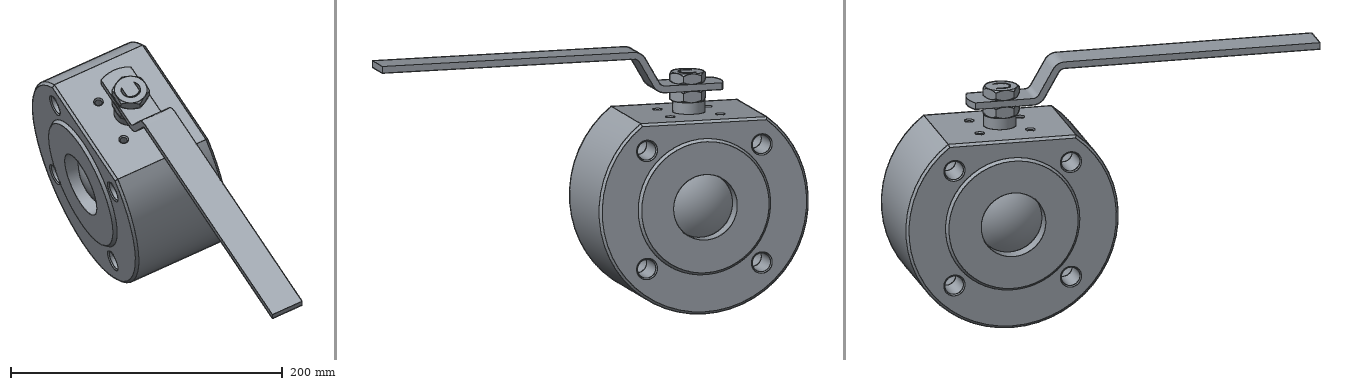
import cadquery as cq
import math


overall_length = 320.3
overall_height = 193.8

body_dia = 161.0
body_width = 77.8
body_chamfer = 2.0
flat_height = 64.5
raised_face_base_dia = 102.0
raised_face_rim_dia = 98.0
raised_face_height = 2.5
total_width = body_width + 2 * raised_face_height

bore_dia = 49.0
ball_dia = 77.0

drill_point_angle = 118
bolt_circle_dia = 125.0
bolt_core_dia = 14.0
bolt_mouth_dia = 16.0
bolt_hole_depth = 24.0
pad_hole_core_dia = 5.0
pad_hole_mouth_dia = 7.0
pad_hole_depth = 9.5
pad_hole_pitch_x = 38.5
pad_hole_pitch_y = 32.0

lever_width = 25.0
lever_thickness = 5.0
lever_end_x = overall_length - body_dia / 2
lever_top = overall_height - body_dia / 2
lever_low_top = 86.8
lever_bend_x = 25.0
lever_bend_angle = 60
lever_inner_radius = 5.0
lever_outer_radius = lever_inner_radius + lever_thickness
lever_low_bottom = lever_low_top - lever_thickness

collar_dia = 24.0
stem_dia = 14.0
stem_across_flats = 10.5
nut_across_flats = 24.0
nut_offset_x = 1.0
nut_chamfer_height = 1.5
nut_face_dia = nut_across_flats
upper_nut_top = 94.5
lower_nut_bottom = 73.0


def make_body():
    """Round body with a flat top and a raised, tapered sealing face on each side."""
    disc = cq.Workplane("XZ").circle(body_dia / 2).extrude(body_width / 2, both=True)
    above_flat = cq.Workplane("XY", origin=(0, 0, flat_height)).rect(body_dia, body_width).extrude(body_dia)
    body = disc.cut(above_flat).faces("<Y or >Y").chamfer(body_chamfer)
    base_radius = raised_face_base_dia / 2
    rim_radius = raised_face_rim_dia / 2
    raised_profile = [
        (0, -total_width / 2),
        (rim_radius, -total_width / 2),
        (base_radius, -body_width / 2),
        (base_radius, body_width / 2),
        (rim_radius, total_width / 2),
        (0, total_width / 2),
    ]
    raised = cq.Workplane("XY").polyline(raised_profile).close().revolve(360, (0, 0, 0), (0, 1, 0))
    return body.union(raised)


def make_flow_void():
    """Bore through the body, blocked by the closed ball."""
    bore = cq.Workplane("XZ").circle(bore_dia / 2).extrude(total_width, both=True)
    return bore.cut(cq.Workplane("XY").sphere(ball_dia / 2))


def make_tapped_hole(core_dia, mouth_dia, depth):
    """Blind hole opening at the origin and running down -Z, with a bevelled mouth and a drill point."""
    core_radius = core_dia / 2
    mouth_radius = mouth_dia / 2
    point_length = core_radius / math.tan(math.radians(drill_point_angle / 2))
    profile = [
        (0, 0),
        (mouth_radius, 0),
        (core_radius, core_radius - mouth_radius),
        (core_radius, -depth),
        (0, -depth - point_length),
    ]
    return cq.Workplane("XZ").polyline(profile).close().revolve(360, (0, 0, 0), (0, 1, 0))


def cut_bolt_holes(body):
    """Four flange bolt holes in each side of the body."""
    front_hole = make_tapped_hole(bolt_core_dia, bolt_mouth_dia, bolt_hole_depth)
    front_hole = front_hole.rotate((0, 0, 0), (1, 0, 0), 90).translate((0, -body_width / 2, 0))
    offset = bolt_circle_dia / 2 * math.sqrt(0.5)
    for x in (-offset, offset):
        for z in (-offset, offset):
            hole = front_hole.translate((x, 0, z))
            body = body.cut(hole).cut(hole.mirror("XZ"))
    return body


def cut_pad_holes(body):
    """Four small holes in the top flat, around the stem."""
    hole = make_tapped_hole(pad_hole_core_dia, pad_hole_mouth_dia, pad_hole_depth)
    for x in (-pad_hole_pitch_x / 2, pad_hole_pitch_x / 2):
        for y in (-pad_hole_pitch_y / 2, pad_hole_pitch_y / 2):
            body = body.cut(hole.translate((x, y, flat_height)))
    return body


def make_nut(bottom, top):
    """Hexagon nut with a corner on the X axis and its corners bevelled at both ends."""
    height = top - bottom
    corner_radius = nut_across_flats / math.sqrt(3)
    hexagon = cq.Workplane("XY").polygon(6, 2 * corner_radius).extrude(height)
    bevel = corner_radius - nut_face_dia / 2
    turned = cq.Workplane("XY").circle(corner_radius).extrude(height)
    turned = turned.faces("<Z or >Z").chamfer(nut_chamfer_height, bevel)
    return hexagon.intersect(turned).translate((nut_offset_x, 0, bottom))


def make_upper_nut():
    """Nut above the lever; its clearance hole shows beside the flattened stem."""
    nut = make_nut(lever_low_top, upper_nut_top)
    hole = cq.Workplane("XY", origin=(nut_offset_x, 0, lever_low_top)).circle(stem_dia / 2)
    return nut.cut(hole.extrude(upper_nut_top - lever_low_top))


def make_stem():
    """Collar on the body and the double-flatted stem end rising through lever and nuts."""
    collar = cq.Workplane("XY", origin=(0, 0, flat_height)).circle(collar_dia / 2)
    collar = collar.extrude(lower_nut_bottom - flat_height)
    end_length = upper_nut_top - flat_height
    end = cq.Workplane("XY", origin=(0, 0, flat_height)).circle(stem_dia / 2).extrude(end_length)
    flats = cq.Workplane("XY", origin=(0, 0, flat_height)).rect(stem_dia, stem_across_flats).extrude(end_length)
    return collar.union(end.intersect(flats))


def make_lever():
    """Strip with two opposite bends and a rounded end around the stem."""
    slope = math.radians(lever_bend_angle)
    rise = lever_top - lever_low_top
    upper_bend_x = lever_bend_x + rise / math.tan(slope)
    shift = lever_thickness * math.tan(slope / 2)
    start_x = -lever_width
    profile = [
        (start_x, lever_low_bottom),
        (lever_bend_x + shift, lever_low_bottom),
        (upper_bend_x + shift, lever_top - lever_thickness),
        (lever_end_x, lever_top - lever_thickness),
        (lever_end_x, lever_top),
        (upper_bend_x, lever_top),
        (lever_bend_x, lever_low_top),
        (start_x, lever_low_top),
    ]
    strip = cq.Workplane("XZ").polyline(profile).close().extrude(lever_width / 2, both=True)

    def bend_edge(x, z):
        return cq.selectors.NearestToPointSelector((x, 0, z))

    inner_bends = [(lever_bend_x, lever_low_top), (upper_bend_x + shift, lever_top - lever_thickness)]
    outer_bends = [(lever_bend_x + shift, lever_low_bottom), (upper_bend_x, lever_top)]
    for bends, radius in ((inner_bends, lever_inner_radius), (outer_bends, lever_outer_radius)):
        for x, z in bends:
            strip = strip.edges("|Y").edges(bend_edge(x, z)).fillet(radius)

    end_disc = cq.Workplane("XY", origin=(0, 0, lever_low_bottom)).circle(lever_width).extrude(lever_thickness)
    end_block = cq.Workplane("XY", origin=(start_x / 2, 0, lever_low_bottom))
    end_block = end_block.rect(lever_width, lever_width).extrude(lever_thickness)
    return strip.cut(end_block.cut(end_disc))


body = make_body().cut(make_flow_void())
body = cut_pad_holes(cut_bolt_holes(body))
lower_nut = make_nut(lower_nut_bottom, lever_low_bottom)
result = body.union(make_stem()).union(lower_nut).union(make_lever()).union(make_upper_nut())